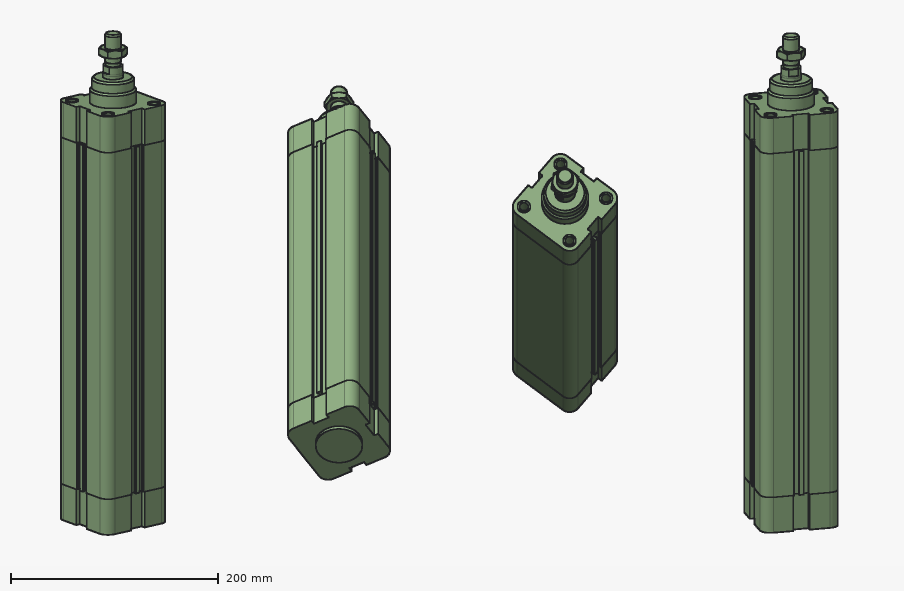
import cadquery as cq
import math

side = 77.5
half_side = side / 2
corner_radius = 10.5

total_length = 494.0
rear_boss_height = 4.0
cap_length = 36.0
barrel_length = 349.0
barrel_bottom = rear_boss_height + cap_length
barrel_top = barrel_bottom + barrel_length
head_top = barrel_top + cap_length

grooved_side_angles = (-90, 0, 90)
notch_width = 16.5
notch_depth = 4.5
slot_mouth_width = 15.0
slot_lip_depth = 2.0
rib_head_width = 4.5
rib_stem_width = 2.5

collar_diameter = 45.0
collar_height = 14.5
neck_diameter = 41.0
neck_top = 450.0
neck_chamfer = 2.0

hole_offset = 28.0
counterbore_diameter = 12.5
counterbore_depth = 0.5
tapped_hole_diameter = 8.5
tapped_hole_depth = 20.0
drill_point_angle = 118

rod_diameter = 20.0
rod_taper_bottom = 453.5
shank_bottom = 455.0
shank_diameter = 19.5
flats_width = 17.0
shank_top = 462.0
undercut_diameter = 14.5
thread_bottom = 465.5
thread_diameter = 16.0
thread_tip_diameter = 13.5
thread_chamfer_height = 2.0

nut_sides = 6
nut_across_flats = 24.0
nut_across_corners = nut_across_flats / math.cos(math.pi / nut_sides)
nut_bottom = 472.0
nut_height = 8.0
nut_chamfer_angle = 30


def disc(diameter, bottom, height):
    return cq.Workplane("XY").workplane(offset=bottom).circle(diameter / 2).extrude(height)


def turned(steps):
    """Solid of revolution about Z through (diameter, level) steps listed from bottom to top."""
    outline = [(diameter / 2, level) for diameter, level in steps]
    profile = [(0, steps[0][1]), *outline, (0, steps[-1][1])]
    return cq.Workplane("XZ").polyline(profile).close().revolve(360, (0, 0), (0, 1))


def square_block(bottom, height):
    block = cq.Workplane("XY").workplane(offset=bottom).rect(side, side).extrude(height)
    return block.edges("|Z").fillet(corner_radius)


def side_strip(width, outer_depth, inner_depth, bottom, height):
    """Bar along Z, centred on the -Y side, between two depths measured inward from that side."""
    strip = cq.Workplane("XY").box(width, inner_depth - outer_depth, height, centered=(True, False, False))
    return strip.translate((0, outer_depth - half_side, bottom))


def cut_grooved_sides(body, cutter):
    for angle in grooved_side_angles:
        body = body.cut(cutter.rotate((0, 0, 0), (0, 0, 1), angle))
    return body


def end_cap(bottom):
    notch = side_strip(notch_width, 0, notch_depth, bottom, cap_length)
    return cut_grooved_sides(square_block(bottom, cap_length), notch)


def make_barrel():
    span = (barrel_bottom, barrel_length)
    mouth = side_strip(slot_mouth_width, 0, slot_lip_depth, *span)
    cavity = side_strip(notch_width, slot_lip_depth, notch_depth, *span)
    rib_head = side_strip(rib_head_width, 0, slot_lip_depth, *span)
    rib_stem = side_strip(rib_stem_width, slot_lip_depth, notch_depth, *span)
    slot = mouth.cut(rib_head).union(cavity.cut(rib_stem))
    return cut_grooved_sides(square_block(*span), slot)


def make_rear_cap():
    return end_cap(barrel_bottom - cap_length).union(disc(collar_diameter, 0, rear_boss_height))


def tapped_hole():
    """Cutter for one corner hole on the Z axis: a shallow counterbore, a bore and a drill point."""
    bore_bottom = head_top - tapped_hole_depth
    point_height = tapped_hole_diameter / 2 / math.tan(math.radians(drill_point_angle / 2))
    counterbore = disc(counterbore_diameter, head_top - counterbore_depth, counterbore_depth)
    bore = disc(tapped_hole_diameter, bore_bottom, tapped_hole_depth)
    drill_point = cq.Workplane(
        cq.Solid.makeCone(
            tapped_hole_diameter / 2,
            0,
            point_height,
            pnt=cq.Vector(0, 0, bore_bottom),
            dir=cq.Vector(0, 0, -1),
        )
    )
    return counterbore.union(bore).union(drill_point)


def make_head():
    collar_top = head_top + collar_height
    collar_taper = (collar_diameter - neck_diameter) / 2
    nose = turned(
        [
            (collar_diameter, head_top),
            (collar_diameter, collar_top - collar_taper),
            (neck_diameter, collar_top),
            (neck_diameter, neck_top - neck_chamfer),
            (neck_diameter - 2 * neck_chamfer, neck_top),
        ]
    )
    head = end_cap(barrel_top).union(nose)
    head = head.cut(disc(rod_diameter, barrel_top, neck_top - barrel_top))
    for x in (-hole_offset, hole_offset):
        for y in (-hole_offset, hole_offset):
            head = head.cut(tapped_hole().translate((x, y, 0)))
    return head


def make_rod():
    rod = turned(
        [
            (rod_diameter, barrel_top),
            (rod_diameter, rod_taper_bottom),
            (shank_diameter, shank_bottom),
            (shank_diameter, shank_top),
            (undercut_diameter, shank_top),
            (undercut_diameter, thread_bottom),
            (thread_diameter, thread_bottom),
            (thread_diameter, total_length - thread_chamfer_height),
            (thread_tip_diameter, total_length),
        ]
    )
    around_flats = (
        cq.Workplane("XY")
        .workplane(offset=shank_bottom)
        .rect(2 * rod_diameter, 2 * rod_diameter)
        .rect(2 * rod_diameter, flats_width)
        .extrude(shank_top - shank_bottom)
    )
    return rod.cut(around_flats)


def make_nut():
    nut_top = nut_bottom + nut_height
    corner_overhang = (nut_across_corners - nut_across_flats) / 2
    chamfer_height = corner_overhang * math.tan(math.radians(nut_chamfer_angle))
    blank = turned(
        [
            (nut_across_flats, nut_bottom),
            (nut_across_corners, nut_bottom + chamfer_height),
            (nut_across_corners, nut_top - chamfer_height),
            (nut_across_flats, nut_top),
        ]
    )
    hexagon = (
        cq.Workplane("XY")
        .workplane(offset=nut_bottom)
        .polygon(nut_sides, nut_across_corners)
        .extrude(nut_height)
    )
    return hexagon.intersect(blank).cut(disc(thread_diameter, nut_bottom, nut_height))


barrel = make_barrel()
rear_cap = make_rear_cap()
head = make_head()
rod = make_rod()
nut = make_nut()

result = cq.Compound.makeCompound([barrel.val(), rear_cap.val(), head.val(), rod.val(), nut.val()])